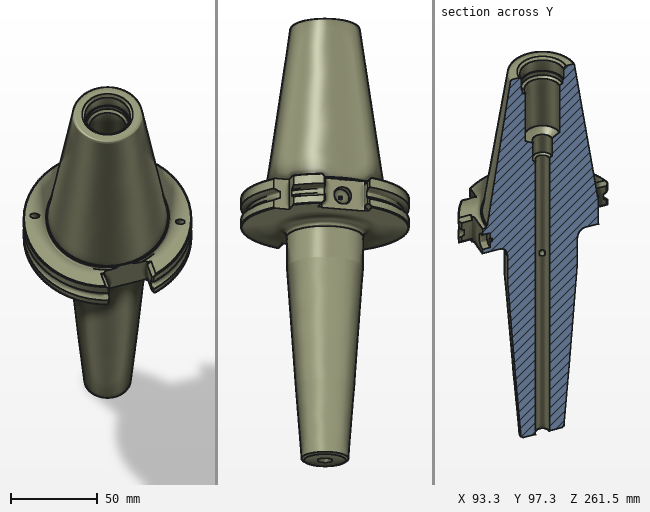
import cadquery as cq
import math


TOTAL_LENGTH = 261.5
TOP_Z = 101.8
BOTTOM_Z = TOP_Z - TOTAL_LENGTH

TAPER_SLOPE = 7 / 48
GAUGE_RADIUS = 69.8 / 2
TAPER_TOP_RADIUS = GAUGE_RADIUS - TOP_Z * TAPER_SLOPE
TAPER_TOP_FILLET = 1.5

COLLAR_RADIUS = 35.5
COLLAR_TOP_Z = 0.8
TAPER_FOOT_RADIUS = GAUGE_RADIUS - COLLAR_TOP_Z * TAPER_SLOPE
COLLAR_ROOT_FILLET = 1.0

FLANGE_RADIUS = 97.3 / 2
FLANGE_TOP_Z = -1.0
FLANGE_BOTTOM_Z = -19.0
FLANGE_MID_Z = (FLANGE_TOP_Z + FLANGE_BOTTOM_Z) / 2
FLANGE_THICKNESS = FLANGE_TOP_Z - FLANGE_BOTTOM_Z
FLANGE_CHAMFER = 0.5
GROOVE_Z = -10.7
GROOVE_WIDTH = 7.0
GROOVE_FLOOR_RADIUS = 45.5
GROOVE_FLANK_ANGLE = 30
GROOVE_FLOOR_FILLET = 0.8

NOSE_RADIUS = 44.2 / 2
NOSE_ROOT_FILLET = 5.0
NOSE_ROOT_STEP = 0.3
NOSE_ROOT_STEP_HEIGHT = 0.8
NOSE_ROOT_RADIUS = NOSE_RADIUS + NOSE_ROOT_STEP
NOSE_ROOT_Z = FLANGE_BOTTOM_Z - NOSE_ROOT_FILLET
NOSE_CONE_TOP_Z = -43.5
NOSE_CONE_BREAK_Z = -115.0
NOSE_BREAK_RADIUS = 17.0
NOSE_END_RADIUS = 13.5
NOSE_END_CHAMFER_HEIGHT = 1.0
NOSE_END_CHAMFER_WIDTH = 1.5

BORE_MOUTH_RADIUS = 14.6
BORE_RELIEF_RADIUS = 13.0
BORE_RELIEF_DEPTH = 9.2
PILOT_RADIUS = 12.5
PILOT_DEPTH = 12.0
THREAD_RADIUS = 21.2 / 2
THREAD_TOP_DEPTH = 13.0
THREAD_DEPTH = 47.0
CHANNEL_RADIUS = 11.8 / 2
CHANNEL_DEPTH = 62.8
OUTLET_RADIUS = 8.6 / 2
DRILL_POINT_HALF_ANGLE = 59

SLOT_WIDTH = 25.6
SLOT_FLOOR_MINUS_X = 37.7
SLOT_FLOOR_PLUS_X = 35.3
SLOT_FLOOR_FILLET = 1.0
SLOT_MOUTH_WIDTH = 27.5
SLOT_MOUTH_DEPTH = 1.3
SLOT_RIM_CHAMFER = 2.4

NOTCH_X = -29.0
NOTCH_Y = 29.8

CHIP_RADIUS = 10.2 / 2
CHIP_DEPTH = 4.7
CHIP_CENTER_RADIUS = 1.0
CHIP_CENTER_DEPTH = 1.3

COOLANT_RADIUS = 1.7
COOLANT_PITCH_RADIUS = 42.0
COOLANT_ANGLES = (70, 250)
COOLANT_TILT = 50

CUT_MARGIN = 5.2


def revolve(outline):
    return outline.close().revolve(360, (0, 0, 0), (0, 1, 0))


def make_body():
    outline = (
        cq.Workplane("XZ")
        .moveTo(0, TOP_Z)
        .lineTo(TAPER_TOP_RADIUS, TOP_Z)
        .lineTo(TAPER_FOOT_RADIUS, COLLAR_TOP_Z)
        .lineTo(COLLAR_RADIUS, COLLAR_TOP_Z)
        .lineTo(COLLAR_RADIUS, FLANGE_TOP_Z + COLLAR_ROOT_FILLET)
        .radiusArc((COLLAR_RADIUS + COLLAR_ROOT_FILLET, FLANGE_TOP_Z), -COLLAR_ROOT_FILLET)
        .lineTo(FLANGE_RADIUS, FLANGE_TOP_Z)
        .lineTo(FLANGE_RADIUS, FLANGE_BOTTOM_Z)
        .lineTo(NOSE_ROOT_RADIUS + NOSE_ROOT_FILLET, FLANGE_BOTTOM_Z)
        .radiusArc((NOSE_ROOT_RADIUS, NOSE_ROOT_Z), -NOSE_ROOT_FILLET)
        .lineTo(NOSE_RADIUS, NOSE_ROOT_Z - NOSE_ROOT_STEP_HEIGHT)
        .lineTo(NOSE_RADIUS, NOSE_CONE_TOP_Z)
        .lineTo(NOSE_BREAK_RADIUS, NOSE_CONE_BREAK_Z)
        .lineTo(NOSE_END_RADIUS, BOTTOM_Z + NOSE_END_CHAMFER_HEIGHT)
        .lineTo(NOSE_END_RADIUS - NOSE_END_CHAMFER_WIDTH, BOTTOM_Z)
        .lineTo(0, BOTTOM_Z)
    )
    body = revolve(outline)
    body = body.faces(">Z").edges().fillet(TAPER_TOP_FILLET)
    flange_rims = cq.selectors.RadiusNthSelector(-1)
    return body.edges("%CIRCLE").edges(flange_rims).chamfer(FLANGE_CHAMFER)


def make_gripper_groove():
    flank_slope = math.tan(math.radians(GROOVE_FLANK_ANGLE))
    depth = FLANGE_RADIUS - GROOVE_FLOOR_RADIUS
    floor_half = GROOVE_WIDTH / 2 - depth * flank_slope
    outer_radius = FLANGE_RADIUS + CUT_MARGIN
    outer_half = GROOVE_WIDTH / 2 + CUT_MARGIN * flank_slope
    outline = (
        cq.Workplane("XZ")
        .moveTo(outer_radius, GROOVE_Z + outer_half)
        .lineTo(GROOVE_FLOOR_RADIUS, GROOVE_Z + floor_half)
        .lineTo(GROOVE_FLOOR_RADIUS, GROOVE_Z - floor_half)
        .lineTo(outer_radius, GROOVE_Z - outer_half)
    )
    floor_edges = cq.selectors.RadiusNthSelector(0)
    return revolve(outline).edges("%CIRCLE").edges(floor_edges).fillet(GROOVE_FLOOR_FILLET)


def drill_point_height(radius_change):
    return radius_change / math.tan(math.radians(DRILL_POINT_HALF_ANGLE))


def make_bore():
    mouth_depth = BORE_MOUTH_RADIUS - BORE_RELIEF_RADIUS
    thread_point = drill_point_height(THREAD_RADIUS - CHANNEL_RADIUS)
    channel_point = drill_point_height(CHANNEL_RADIUS - OUTLET_RADIUS)
    outline = (
        cq.Workplane("XZ")
        .moveTo(0, TOP_Z)
        .lineTo(BORE_MOUTH_RADIUS, TOP_Z)
        .lineTo(BORE_RELIEF_RADIUS, TOP_Z - mouth_depth)
        .lineTo(BORE_RELIEF_RADIUS, TOP_Z - BORE_RELIEF_DEPTH)
        .lineTo(PILOT_RADIUS, TOP_Z - BORE_RELIEF_DEPTH)
        .lineTo(PILOT_RADIUS, TOP_Z - PILOT_DEPTH)
        .lineTo(THREAD_RADIUS, TOP_Z - THREAD_TOP_DEPTH)
        .lineTo(THREAD_RADIUS, TOP_Z - THREAD_DEPTH)
        .lineTo(CHANNEL_RADIUS, TOP_Z - THREAD_DEPTH - thread_point)
        .lineTo(CHANNEL_RADIUS, TOP_Z - CHANNEL_DEPTH)
        .lineTo(OUTLET_RADIUS, TOP_Z - CHANNEL_DEPTH - channel_point)
        .lineTo(OUTLET_RADIUS, BOTTOM_Z)
        .lineTo(0, BOTTOM_Z)
    )
    return revolve(outline)


def make_drive_slot(floor_x):
    """Slot open towards +X: rounded floor corners, flared mouth and chamfered rims."""
    half = SLOT_WIDTH / 2
    mouth_half = SLOT_MOUTH_WIDTH / 2
    outer_x = FLANGE_RADIUS + CUT_MARGIN
    length = outer_x - floor_x
    channel = (
        cq.Workplane("XY")
        .box(length, SLOT_WIDTH, FLANGE_THICKNESS + 2 * CUT_MARGIN, centered=(False, True, True))
        .edges("|Z and <X")
        .fillet(SLOT_FLOOR_FILLET)
        .translate((floor_x, 0, FLANGE_MID_Z))
    )

    mouth_x = math.sqrt(FLANGE_RADIUS**2 - mouth_half**2)
    mouth = (
        cq.Workplane("XY")
        .workplane(offset=FLANGE_BOTTOM_Z)
        .moveTo(mouth_x - SLOT_MOUTH_DEPTH, -half)
        .lineTo(mouth_x, -mouth_half)
        .lineTo(outer_x, -mouth_half)
        .lineTo(outer_x, mouth_half)
        .lineTo(mouth_x, mouth_half)
        .lineTo(mouth_x - SLOT_MOUTH_DEPTH, half)
        .close()
        .extrude(FLANGE_THICKNESS)
    )
    slot = channel.union(mouth)

    for rim_z, inward in ((FLANGE_TOP_Z, -1), (FLANGE_BOTTOM_Z, 1)):
        rim = (
            cq.Workplane("YZ")
            .workplane(offset=floor_x + SLOT_FLOOR_FILLET)
            .moveTo(-half - SLOT_RIM_CHAMFER, rim_z)
            .lineTo(half + SLOT_RIM_CHAMFER, rim_z)
            .lineTo(half, rim_z + inward * SLOT_RIM_CHAMFER)
            .lineTo(-half, rim_z + inward * SLOT_RIM_CHAMFER)
            .close()
            .extrude(length)
        )
        slot = slot.union(rim)
    return slot


def make_orientation_notch():
    reach = FLANGE_RADIUS + CUT_MARGIN
    return (
        cq.Workplane("XY")
        .workplane(offset=FLANGE_BOTTOM_Z)
        .moveTo(NOTCH_X, NOTCH_Y)
        .rect(-reach, reach, centered=False)
        .extrude(FLANGE_THICKNESS)
    )


def make_chip_pocket():
    floor_plane = cq.Plane(origin=(-SLOT_FLOOR_MINUS_X, 0, GROOVE_Z), xDir=(0, 1, 0), normal=(1, 0, 0))
    pocket = cq.Workplane(floor_plane).circle(CHIP_RADIUS).extrude(CHIP_DEPTH)
    center_hole = cq.Workplane(floor_plane).circle(CHIP_CENTER_RADIUS).extrude(CHIP_DEPTH + CHIP_CENTER_DEPTH)
    return pocket.union(center_hole)


def make_coolant_hole(angle):
    """Hole through the flange face that slants down and in to the central axis."""
    tilt = math.radians(COOLANT_TILT)
    inward_down = cq.Vector(-math.sin(tilt), 0, -math.cos(tilt))
    start = cq.Vector(COOLANT_PITCH_RADIUS, 0, FLANGE_TOP_Z) - inward_down * CUT_MARGIN
    length = COOLANT_PITCH_RADIUS / math.sin(tilt) + CUT_MARGIN
    hole = cq.Solid.makeCylinder(COOLANT_RADIUS, length, start, inward_down)
    return cq.Workplane(hole).rotate((0, 0, 0), (0, 0, 1), angle)


result = make_body().cut(make_gripper_groove())
result = result.cut(make_bore())
result = result.cut(make_drive_slot(SLOT_FLOOR_PLUS_X))
result = result.cut(make_drive_slot(SLOT_FLOOR_MINUS_X).rotate((0, 0, 0), (0, 0, 1), 180))
result = result.cut(make_orientation_notch())
result = result.cut(make_chip_pocket())
for hole_angle in COOLANT_ANGLES:
    result = result.cut(make_coolant_hole(hole_angle))